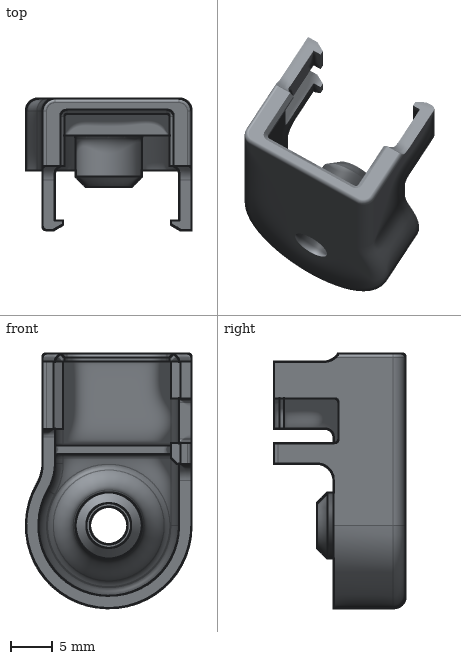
import cadquery as cq
import math


round_radius = 10.0
left_wall = 8.0
top = 20.75
depth = 8.7
wall = 1.5
waist_radius = 5.0
back_fillet = 1.5
top_fillet = 0.5
floor_fillet = 0.98

lip_height = 0.98
lip_overhang = 1.15
lip_back_overhang = 0.35
lip_front = 8.12
lip_end_radius = 0.98
opening_corner = 0.35
opening_chamfer = 0.5

post_radius = 4.0
post_depth = 10.7
tip_chamfer = 1.3
bore_radius = 2.25
cone_height = 2.98
cone_fillet = 0.98

shelf_top = 9.65
shelf_thickness = 1.0
shelf_depth = 4.5
shelf_top_fillet = 0.18
shelf_bottom_fillet = 0.5

arm_depth = 15.9
left_arm_bottom = 11.65
upper_arm_bottom = 15.35
lower_arm_top = 9.93
lower_arm_bottom = 7.45
left_arm_fillet = 0.98
slot_depth = 8.12
slot_fillet = 0.5
lower_arm_fillet = 2.0
shoulder_radius = 2.0
shoulder_depth = 9.85
hook_reach = 0.98
hook_depth = 14.7
hook_nose = 0.68
nose_angle = 30
hook_corner = 0.7
arm_tip_fillet = 0.5

inner_left = wall - left_wall
inner_right = round_radius - wall
arm_top = top - lip_height
embed = wall / 2
pick = 0.03


def box(x0, x1, depth0, depth1, z0, z1):
    """Box between two X, two depths (measured from the back face towards -Y) and two Z."""
    size = (x1 - x0, depth1 - depth0, z1 - z0)
    return cq.Workplane("XY").box(*size, centered=False).translate((x0, -depth1, z0))


def outline(inset, top_z, start, end):
    """Shell outline moved inwards by inset, extruded between two depths."""
    radius = round_radius - inset
    left = inset - left_wall
    blend = waist_radius + inset
    blend_x = left - blend
    blend_z = math.sqrt((radius + blend) ** 2 - blend_x ** 2)
    blend_angle = math.atan2(blend_z, -blend_x)
    tangent = (-radius * math.cos(blend_angle), radius * math.sin(blend_angle))
    blend_middle = (
        blend_x + blend * math.cos(blend_angle / 2),
        blend_z - blend * math.sin(blend_angle / 2),
    )
    return (
        cq.Workplane("XZ", origin=(0, -start, 0))
        .moveTo(left, top_z)
        .lineTo(left, blend_z)
        .threePointArc(blend_middle, tangent)
        .threePointArc((0, -radius), (radius, 0))
        .lineTo(radius, top_z)
        .close()
        .extrude(end - start)
    )


def make_shell():
    body = outline(0, top, 0, depth)
    body = body.faces(">Y").edges("not(>Z)").fillet(back_fillet)
    body = body.faces(">Z").edges("not(<Y)").fillet(top_fillet)
    cavity = outline(wall, arm_top, wall, depth)
    cavity = cavity.faces(">Y").edges("not(>Z)").fillet(floor_fillet)
    mouth = box(inner_left, inner_right, wall, depth, arm_top, top)
    return body.cut(cavity).cut(mouth)


def add_shelf(body):
    bottom = shelf_top - shelf_thickness
    shelf = box(inner_left - embed, inner_right + embed, wall - embed, shelf_depth, bottom, shelf_top)
    body = body.union(shelf)
    for level, radius in ((shelf_top, shelf_top_fillet), (bottom, shelf_bottom_fillet)):
        corner_edges = cq.selectors.BoxSelector(
            (inner_left - pick, -shelf_depth + pick, level - pick),
            (inner_right + pick, 0, level + pick),
        )
        body = body.edges(corner_edges).fillet(radius)
    return body


def make_lip():
    lip = box(inner_left, inner_right, wall, lip_front, arm_top, top)
    end_depth = lip_front + lip_end_radius
    for wall_x, side in ((inner_left, 1), (inner_right, -1)):
        axis_x = wall_x + side * lip_end_radius
        gusset = box(min(wall_x, axis_x), max(wall_x, axis_x), lip_front, end_depth, arm_top, top)
        round_cut = (
            cq.Workplane("XY", origin=(axis_x, -end_depth, arm_top))
            .circle(lip_end_radius)
            .extrude(lip_height)
        )
        lip = lip.union(gusset.cut(round_cut))
    return lip


def make_opening():
    left = inner_left + lip_overhang
    right = inner_right - lip_overhang
    opening = box(left, right, wall + lip_back_overhang, arm_depth, arm_top, top)
    opening = opening.edges("|Z and >Y").fillet(opening_corner)
    flare = (
        opening.faces("<Z").wires().toPending()
        .extrude(opening_chamfer, taper=-45, combine=False)
        .translate((0, 0, lip_height - opening_chamfer))
    )
    return opening.union(flare)


def arm(wall_x, z0, z1, top_z, tip_fillet=0, corner_chamfer=0):
    """Snap arm in line with a side wall, wall_x being the wall's inner face.

    The straight stem reaches up to top_z, the hooked end only to z1.
    """
    outward = math.copysign(1, wall_x)
    outer_x = wall_x + outward * wall
    tip_x = wall_x - outward * hook_reach
    nose_x = tip_x + outward * hook_nose / math.tan(math.radians(nose_angle))
    nose_depth = arm_depth - hook_nose
    hook = (
        cq.Workplane("XY", origin=(0, 0, z0))
        .moveTo(outer_x, -hook_depth)
        .lineTo(tip_x, -hook_depth)
        .lineTo(tip_x, -nose_depth)
        .lineTo(nose_x, -arm_depth)
        .lineTo(outer_x, -arm_depth)
        .close()
        .extrude(z1 - z0)
    )
    outer_side, inner_side = ("<X", ">X") if outward < 0 else (">X", "<X")
    if tip_fillet:
        hook = hook.faces(outer_side).edges("<Y").fillet(tip_fillet)
    if corner_chamfer:
        hook = hook.faces(inner_side).edges("<Z").chamfer(corner_chamfer)
    stem = box(min(wall_x, outer_x), max(wall_x, outer_x), depth, hook_depth, z0, top_z)
    return stem.union(hook)


def root_fillet(wall_x, z, radius):
    """Concave blend from the rim to the lower edge of an arm at z."""
    outer_x = wall_x + math.copysign(wall, wall_x)
    end_z = z - radius
    block = box(min(wall_x, outer_x), max(wall_x, outer_x), depth, depth + radius, end_z, z)
    round_cut = (
        cq.Workplane("YZ", origin=(min(wall_x, outer_x), -depth - radius, end_z))
        .circle(radius)
        .extrude(wall)
    )
    return block.cut(round_cut)


def make_left_arm():
    left = arm(inner_left, left_arm_bottom, arm_top, top, tip_fillet=arm_tip_fillet)
    return left.union(root_fillet(inner_left, left_arm_bottom, left_arm_fillet))


def make_right_arms():
    upper = arm(inner_right, upper_arm_bottom, arm_top, top)

    lower = arm(inner_right, lower_arm_bottom, lower_arm_top, lower_arm_top,
                tip_fillet=arm_tip_fillet, corner_chamfer=hook_corner)
    lower = lower.union(root_fillet(inner_right, lower_arm_bottom, lower_arm_fillet))
    return upper.union(lower)


def make_slot_cut():
    """Slot between the two right arms, cut slightly below the rim."""
    slot = box(inner_right, round_radius, slot_depth, hook_depth, lower_arm_top, upper_arm_bottom)
    return slot.edges("|X and >Y").fillet(slot_fillet)


def make_shoulder_cut():
    """Space above the arm tops with the rounded step up to the top face."""
    above = box(-round_radius, round_radius, shoulder_depth, arm_depth, arm_top, top)
    step = (
        cq.Workplane("YZ", origin=(-round_radius, -shoulder_depth, arm_top + shoulder_radius))
        .circle(shoulder_radius)
        .extrude(2 * round_radius)
    )
    return above.union(step)


def add_post(body):
    foot_radius = post_radius + cone_height
    foot_depth = wall + cone_height
    post = (
        cq.Workplane("XY")
        .moveTo(0, -embed)
        .lineTo(foot_radius, -embed)
        .lineTo(foot_radius, -wall)
        .lineTo(post_radius, -foot_depth)
        .lineTo(post_radius, tip_chamfer - post_depth)
        .lineTo(post_radius - tip_chamfer, -post_depth)
        .lineTo(0, -post_depth)
        .close()
        .revolve(360, (0, 0), (0, 1))
    )
    body = body.union(post)
    for level in (wall, foot_depth):
        foot_edge = cq.selectors.BoxSelector(
            (-pick, -level - pick, -pick),
            (pick, -level + pick, pick),
        )
        body = body.edges(foot_edge).fillet(cone_fillet)
    bore = cq.Workplane("XZ").circle(bore_radius).extrude(post_depth)
    return body.cut(bore)


result = add_shelf(make_shell())
result = add_post(result)
result = result.union(make_lip())
result = result.union(make_left_arm()).union(make_right_arms())
result = result.cut(make_opening()).cut(make_slot_cut()).cut(make_shoulder_cut())